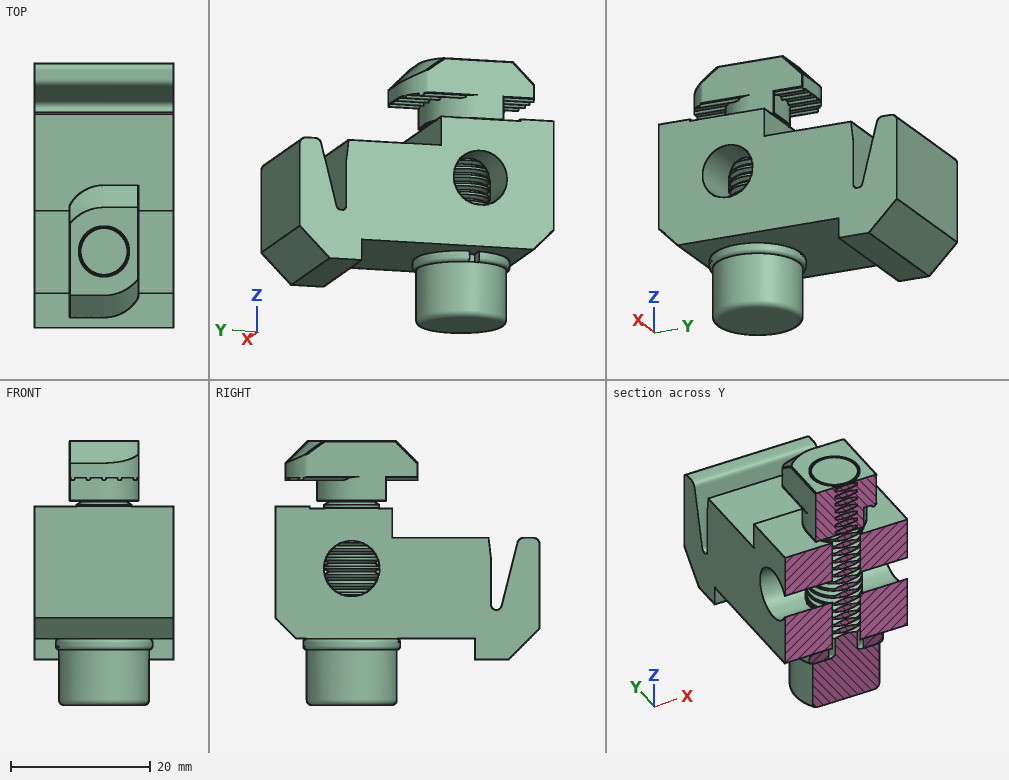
import cadquery as cq
import math


total_height = 38.0
head_diameter = 13.0
head_height = 7.98
head_edge_radius = 0.8
neck_fillet = 0.4
thread_radius = 4.0
thread_root_radius = 3.35
thread_pitch = 1.25
thread_crest_width = 0.38
thread_turns = 22
washer_diameter = 14.0
washer_thickness = 1.6
washer_bore_radius = thread_radius + neck_fillet + 0.08
washer_edge_radius = 0.55
washer_gap = 1.5

block_width = 20.0
block_length = 38.0
block_height = 19.0
block_bottom = head_height + washer_thickness
block_top = block_bottom + block_height
block_front = -11.0
block_back = block_front + block_length
front_chamfer = 3.0
pad_end = -6.0
pad_height = 0.25
shoulder_y = 5.85
shelf_top = block_bottom + 14.5
foot_depth = 3.0
foot_front = 17.7
foot_chamfer = 4.5
slot_wall_y = 20.03
slot_floor = 13.7
slot_radius = 0.75
slot_taper_start = 21.2
slot_taper_offset = 0.35
hook_angle = math.radians(14.1)
hook_tip_radius = 1.0
cross_hole_height = 10.07
cross_hole_diameter = 7.98
screw_clearance_diameter = 8.35

nut_width = 10.0
nut_length = 19.05
plate_bottom = 32.7
neck_bottom = 29.35
plate_arc_radius = 5.65
neck_corner_radius = 6.0
nut_chamfer = 3.2
edge_break = 0.1
ridge_pitch = 2.25
ridge_height = 0.38
ridge_radius = 0.3
ridges_per_side = 2
countersink_radius = 3.65
countersink_depth = 0.3


def make_block():
    """Clamp block: side outline across its width, with a cross hole and a screw hole."""
    sine = math.sin(hook_angle)
    cosine = math.cos(hook_angle)
    arc_y = slot_wall_y + slot_radius
    arc_z = slot_floor + slot_radius
    tangent_y = arc_y + slot_radius * cosine
    tangent_z = arc_z - slot_radius * sine
    hook_y = tangent_y + (shelf_top - tangent_z) * math.tan(hook_angle)
    foot_bottom = block_bottom - foot_depth

    block = (
        cq.Workplane("YZ", origin=(-block_width / 2, 0, 0))
        .moveTo(block_front, block_top)
        .lineTo(pad_end, block_top)
        .lineTo(pad_end, block_top - pad_height)
        .lineTo(shoulder_y, block_top - pad_height)
        .lineTo(shoulder_y, shelf_top)
        .lineTo(slot_wall_y - slot_taper_offset, shelf_top)
        .lineTo(slot_wall_y, slot_taper_start)
        .lineTo(slot_wall_y, arc_z)
        .threePointArc((arc_y, slot_floor), (tangent_y, tangent_z))
        .lineTo(hook_y, shelf_top)
        .lineTo(block_back, shelf_top)
        .lineTo(block_back, foot_bottom + foot_chamfer)
        .lineTo(block_back - foot_chamfer, foot_bottom)
        .lineTo(foot_front, foot_bottom)
        .lineTo(foot_front, block_bottom)
        .lineTo(block_front + front_chamfer, block_bottom)
        .lineTo(block_front, block_bottom + front_chamfer)
        .close()
        .extrude(block_width)
    )
    hook_edges = cq.selectors.BoxSelector(
        (-block_width, hook_y - hook_tip_radius, shelf_top - hook_tip_radius),
        (block_width, block_back + hook_tip_radius, shelf_top + hook_tip_radius),
    )
    block = block.edges("|X").edges(hook_edges).fillet(hook_tip_radius)

    cross_hole = (
        cq.Workplane("YZ", origin=(-block_width / 2, 0, block_bottom + cross_hole_height))
        .circle(cross_hole_diameter / 2)
        .extrude(block_width)
    )
    screw_hole = cq.Workplane("XY").circle(screw_clearance_diameter / 2).extrude(total_height)
    return block.cut(cross_hole).cut(screw_hole)


def make_screw():
    """Cap screw: head at the bottom, plain shank and ring-shaped thread up to the tip."""
    head_radius = head_diameter / 2
    diagonal = math.sqrt(0.5)
    outline = (
        cq.Workplane("XZ")
        .moveTo(0, 0)
        .lineTo(head_radius - head_edge_radius, 0)
        .threePointArc(
            (
                head_radius - head_edge_radius * (1 - diagonal),
                head_edge_radius * (1 - diagonal),
            ),
            (head_radius, head_edge_radius),
        )
        .lineTo(head_radius, head_height)
        .lineTo(thread_radius + neck_fillet, head_height)
        .threePointArc(
            (
                thread_radius + neck_fillet * (1 - diagonal),
                head_height + neck_fillet * (1 - diagonal),
            ),
            (thread_radius, head_height + neck_fillet),
        )
    )
    thread_start = total_height - thread_turns * thread_pitch
    for turn in range(thread_turns):
        root_z = thread_start + turn * thread_pitch
        crest_z = root_z + thread_pitch / 2
        if turn == 0:
            outline = outline.lineTo(thread_radius, crest_z + thread_crest_width / 2)
        else:
            outline = (
                outline.lineTo(thread_root_radius, root_z)
                .lineTo(thread_radius, crest_z - thread_crest_width / 2)
                .lineTo(thread_radius, crest_z + thread_crest_width / 2)
            )
    outline = outline.lineTo(thread_root_radius, total_height).lineTo(0, total_height).close()
    return outline.revolve(360, (0, 0, 0), (0, 1, 0))


def make_washer():
    """Spring washer: ring with rounded outer edges, split on the -X side."""
    washer = (
        cq.Workplane("XY", origin=(0, 0, head_height))
        .circle(washer_diameter / 2)
        .extrude(washer_thickness)
        .edges()
        .fillet(washer_edge_radius)
    )
    bore = cq.Workplane("XY").circle(washer_bore_radius).extrude(total_height)
    gap = (
        cq.Workplane("XY", origin=(-washer_diameter / 2, 0, head_height))
        .rect(washer_diameter, washer_gap)
        .extrude(washer_thickness)
    )
    return washer.cut(bore).cut(gap)


def plate_outline(bottom):
    """Nut plate sketch: a rectangle with two opposite corners swept off by arcs."""
    half_width = nut_width / 2
    half_length = nut_length / 2
    centre_y = half_length - plate_arc_radius
    side_y = centre_y + math.sqrt(plate_arc_radius**2 - half_width**2)
    middle_angle = math.asin(half_width / plate_arc_radius) / 2
    middle_x = plate_arc_radius * math.sin(middle_angle)
    middle_y = centre_y + plate_arc_radius * math.cos(middle_angle)
    return (
        cq.Workplane("XY", origin=(0, 0, bottom))
        .moveTo(half_width, half_length)
        .lineTo(0, half_length)
        .threePointArc((-middle_x, middle_y), (-half_width, side_y))
        .lineTo(-half_width, -half_length)
        .lineTo(0, -half_length)
        .threePointArc((middle_x, -middle_y), (half_width, -side_y))
        .close()
    )


def make_nut_top():
    """Envelope of the chamfered plate top: flat slopes on square corners, a cone on round ones."""
    half_length = nut_length / 2
    slope_start = total_height - nut_chamfer
    top_half_length = half_length - nut_chamfer
    flat = (
        cq.Workplane("YZ", origin=(-nut_width / 2, 0, 0))
        .moveTo(-half_length, plate_bottom)
        .lineTo(half_length, plate_bottom)
        .lineTo(half_length, slope_start)
        .lineTo(top_half_length, total_height)
        .lineTo(-top_half_length, total_height)
        .lineTo(-half_length, slope_start)
        .close()
        .extrude(nut_width)
    )
    cone = (
        cq.Workplane("XY", origin=(0, 0, plate_bottom))
        .circle(half_length)
        .extrude(total_height - plate_bottom)
        .faces(">Z")
        .chamfer(nut_chamfer)
    )
    square_quarters = (
        cq.Workplane("XY", origin=(0, 0, plate_bottom))
        .pushPoints([(nut_width / 4, half_length / 2), (-nut_width / 4, -half_length / 2)])
        .rect(nut_width / 2, half_length)
        .extrude(total_height - plate_bottom)
    )
    return flat.intersect(square_quarters).union(cone)


def make_ridges():
    """Gripping ridges along Y under the plate, trimmed to the plate outline."""
    row = cq.Workplane("XY")
    for index in range(-ridges_per_side, ridges_per_side + 1):
        ridge = (
            cq.Workplane("XZ", origin=(index * ridge_pitch, nut_length / 2, plate_bottom))
            .moveTo(-ridge_radius, 0)
            .lineTo(-ridge_radius, ridge_radius - ridge_height)
            .threePointArc((0, -ridge_height), (ridge_radius, ridge_radius - ridge_height))
            .lineTo(ridge_radius, 0)
            .close()
            .extrude(nut_length)
        )
        row = row.add(ridge)
    trim = plate_outline(plate_bottom - ridge_height).extrude(ridge_height)
    return row.combine().intersect(trim)


def make_neck():
    """Square nut neck with two opposite corners rounded, so that the nut can turn in its groove."""
    neck = (
        cq.Workplane("XY", origin=(0, 0, neck_bottom))
        .rect(nut_width, nut_width)
        .extrude(plate_bottom - neck_bottom)
    )
    return neck.edges("|Z and (<(1, -1, 0) or >(1, -1, 0))").fillet(neck_corner_radius)


def make_nut(screw):
    """T-nut: chamfered plate on a neck, ridged underneath and threaded onto the screw."""
    plate = plate_outline(plate_bottom).extrude(total_height - plate_bottom)
    nut = plate.intersect(make_nut_top()).union(make_neck())
    nut = nut.faces("<X or >X or <Z").edges().chamfer(edge_break)
    nut = nut.union(make_ridges())
    countersink = cq.Workplane(
        cq.Solid.makeCone(
            countersink_radius - countersink_depth,
            countersink_radius,
            countersink_depth,
            cq.Vector(0, 0, total_height - countersink_depth),
        )
    )
    return nut.cut(screw).cut(countersink)


block = make_block()
screw = make_screw()
washer = make_washer()
nut = make_nut(screw)

result = cq.Compound.makeCompound([block.val(), screw.val(), washer.val(), nut.val()])